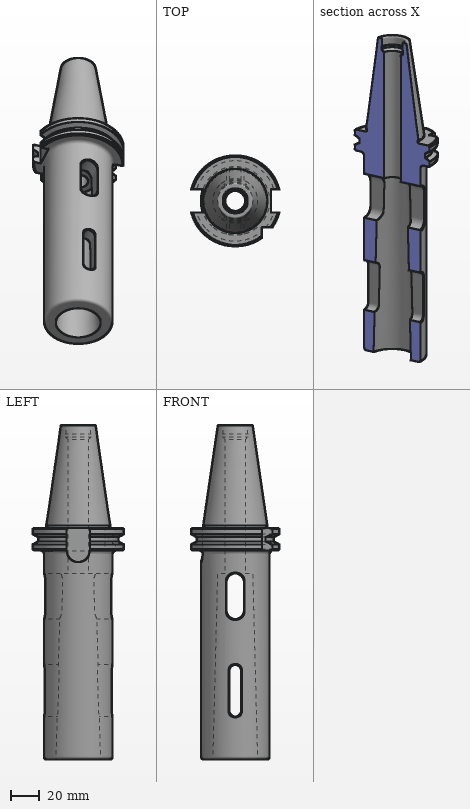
import cadquery as cq
import math

ARC_MIDDLE = 1 - math.sqrt(0.5)

GAUGE_RADIUS = 44.45 / 2
TAPER_LENGTH = 68.4
TAPER_SLOPE = 7 / 48
TAPER_END_RADIUS = GAUGE_RADIUS - TAPER_SLOPE * TAPER_LENGTH
TAPER_END_FILLET = 1.0

FLANGE_RADIUS = 63.55 / 2
FLANGE_TOP = -3.2
FLANGE_BOTTOM = -19.1
FLANGE_CHAMFER = 1.0

RELIEF_TOP = -1.5
RELIEF_DEPTH = 0.5
RELIEF_FILLET = 1.0

GROOVE_CENTRE = -11.25
GROOVE_FLOOR_RADIUS = 56.25 / 2
GROOVE_FLOOR_WIDTH = 3.0
GROOVE_HALF_ANGLE = math.radians(30)

DRIVE_SLOT_WIDTH = 16.1
DRIVE_SLOT_FLOOR_LEFT = -22.8
DRIVE_SLOT_FLOOR_RIGHT = 25.0
NOTCH_OFFSET = 18.5

BODY_RADIUS = 24.0
NOSE_Z = -165.0
NOSE_FILLET = 2.0
NECK_FILLET = 2.5

THREAD_RADIUS = 7.0
COUNTERBORE_RADIUS = 8.5
COUNTERBORE_DEPTH = 6.2
MOUTH_FILLET = 1.2
UNDERCUT_RADIUS = 9.0
UNDERCUT_WIDTH = 1.9

SOCKET_MOUTH_RADIUS = 31.267 / 2
SOCKET_SLOPE = 1 / (2 * 19.254)
SOCKET_DEPTH = 130.0

DRIFT_SLOT = (12.2, -35.0, -67.0)
WEDGE_SLOT = (8.3, -98.8, -135.0)
CROSS_SLOT_CHAMFER = 0.5


def make_revolved_body():
    """Outer shape: taper, relief, grooved flange and cylindrical body."""
    relief_radius = GAUGE_RADIUS - RELIEF_DEPTH
    flange_edge = FLANGE_RADIUS - FLANGE_CHAMFER
    floor_half = GROOVE_FLOOR_WIDTH / 2
    mouth_half = floor_half + (FLANGE_RADIUS - GROOVE_FLOOR_RADIUS) * math.tan(GROOVE_HALF_ANGLE)
    neck_middle = NECK_FILLET * ARC_MIDDLE
    relief_middle = RELIEF_FILLET * ARC_MIDDLE
    nose_middle = NOSE_FILLET * ARC_MIDDLE
    profile = (
        cq.Workplane("XZ")
        .moveTo(0, TAPER_LENGTH)
        .lineTo(TAPER_END_RADIUS, TAPER_LENGTH)
        .lineTo(GAUGE_RADIUS - TAPER_SLOPE * RELIEF_TOP, RELIEF_TOP)
        .lineTo(relief_radius, RELIEF_TOP)
        .lineTo(relief_radius, FLANGE_TOP + RELIEF_FILLET)
        .threePointArc(
            (relief_radius + relief_middle, FLANGE_TOP + relief_middle),
            (relief_radius + RELIEF_FILLET, FLANGE_TOP),
        )
        .lineTo(flange_edge, FLANGE_TOP)
        .lineTo(FLANGE_RADIUS, FLANGE_TOP - FLANGE_CHAMFER)
        .lineTo(FLANGE_RADIUS, GROOVE_CENTRE + mouth_half)
        .lineTo(GROOVE_FLOOR_RADIUS, GROOVE_CENTRE + floor_half)
        .lineTo(GROOVE_FLOOR_RADIUS, GROOVE_CENTRE - floor_half)
        .lineTo(FLANGE_RADIUS, GROOVE_CENTRE - mouth_half)
        .lineTo(FLANGE_RADIUS, FLANGE_BOTTOM + FLANGE_CHAMFER)
        .lineTo(flange_edge, FLANGE_BOTTOM)
        .lineTo(BODY_RADIUS + NECK_FILLET, FLANGE_BOTTOM)
        .threePointArc(
            (BODY_RADIUS + neck_middle, FLANGE_BOTTOM - neck_middle),
            (BODY_RADIUS, FLANGE_BOTTOM - NECK_FILLET),
        )
        .lineTo(BODY_RADIUS, NOSE_Z + NOSE_FILLET)
        .threePointArc(
            (BODY_RADIUS - nose_middle, NOSE_Z + nose_middle),
            (BODY_RADIUS - NOSE_FILLET, NOSE_Z),
        )
        .lineTo(0, NOSE_Z)
        .close()
    )
    body = profile.revolve(360, (0, 0, 0), (0, 1, 0))
    return body.faces(">Z").edges().fillet(TAPER_END_FILLET)


def make_bore():
    """Drawbar hole with counterbore and undercut, opening into the Morse taper socket."""
    counterbore_floor = TAPER_LENGTH - COUNTERBORE_DEPTH
    cone_top = counterbore_floor - UNDERCUT_WIDTH
    mouth_middle = MOUTH_FILLET * ARC_MIDDLE
    socket_end = NOSE_Z + SOCKET_DEPTH
    profile = (
        cq.Workplane("XZ")
        .moveTo(0, TAPER_LENGTH)
        .lineTo(COUNTERBORE_RADIUS + MOUTH_FILLET, TAPER_LENGTH)
        .threePointArc(
            (COUNTERBORE_RADIUS + mouth_middle, TAPER_LENGTH - mouth_middle),
            (COUNTERBORE_RADIUS, TAPER_LENGTH - MOUTH_FILLET),
        )
        .lineTo(COUNTERBORE_RADIUS, counterbore_floor)
        .lineTo(UNDERCUT_RADIUS, counterbore_floor)
        .lineTo(UNDERCUT_RADIUS, cone_top)
        .lineTo(THREAD_RADIUS, cone_top - (UNDERCUT_RADIUS - THREAD_RADIUS))
        .lineTo(THREAD_RADIUS, socket_end)
        .lineTo(SOCKET_MOUTH_RADIUS - SOCKET_SLOPE * SOCKET_DEPTH, socket_end)
        .lineTo(SOCKET_MOUTH_RADIUS, NOSE_Z)
        .lineTo(0, NOSE_Z)
        .close()
    )
    return profile.revolve(360, (0, 0, 0), (0, 1, 0))


def make_drive_slot(floor_x):
    """Round-ended drive slot running outward in X from floor_x."""
    half_width = DRIVE_SLOT_WIDTH / 2
    profile = (
        cq.Workplane("YZ", origin=(floor_x, 0, 0))
        .moveTo(-half_width, FLANGE_TOP)
        .lineTo(-half_width, FLANGE_BOTTOM)
        .threePointArc((0, FLANGE_BOTTOM - half_width), (half_width, FLANGE_BOTTOM))
        .lineTo(half_width, FLANGE_TOP)
        .close()
    )
    return profile.extrude(math.copysign(FLANGE_RADIUS, floor_x))


def make_orientation_notch():
    """Square corner notch through the flange on the +X, -Y side."""
    return (
        cq.Workplane("XY", origin=(0, 0, FLANGE_BOTTOM))
        .moveTo(NOTCH_OFFSET, -NOTCH_OFFSET)
        .lineTo(FLANGE_RADIUS, -NOTCH_OFFSET)
        .lineTo(FLANGE_RADIUS, -FLANGE_RADIUS)
        .lineTo(NOTCH_OFFSET, -FLANGE_RADIUS)
        .close()
        .extrude(FLANGE_TOP - FLANGE_BOTTOM)
    )


def is_on_body_surface(edge):
    """True when both ends and the middle of the edge lie on the body cylinder."""
    tolerance = 0.01
    points = edge.positions((0, 0.5, 1))
    return all(abs(math.hypot(p.x, p.y) - BODY_RADIUS) < tolerance for p in points)


def cut_cross_slot(body, width, top, bottom):
    """Cut a round-ended slot through the body along Y and chamfer its outer rims."""
    margin = 1.0
    half_width = width / 2 + margin
    reach = BODY_RADIUS + margin
    slot = (
        cq.Workplane("XZ", origin=(0, 0, (top + bottom) / 2))
        .slot2D(top - bottom, width, 90)
        .extrude(reach, both=True)
    )
    around_slot = cq.selectors.BoxSelector(
        (-half_width, -reach, bottom - margin),
        (half_width, reach, top + margin),
    )
    slotted = body.cut(slot)
    return slotted.edges(around_slot).filter(is_on_body_surface).chamfer(CROSS_SLOT_CHAMFER)


result = make_revolved_body().cut(make_bore())
for slot_floor in (DRIVE_SLOT_FLOOR_LEFT, DRIVE_SLOT_FLOOR_RIGHT):
    result = result.cut(make_drive_slot(slot_floor))
result = result.cut(make_orientation_notch())
for slot_size in (DRIFT_SLOT, WEDGE_SLOT):
    result = cut_cross_slot(result, *slot_size)